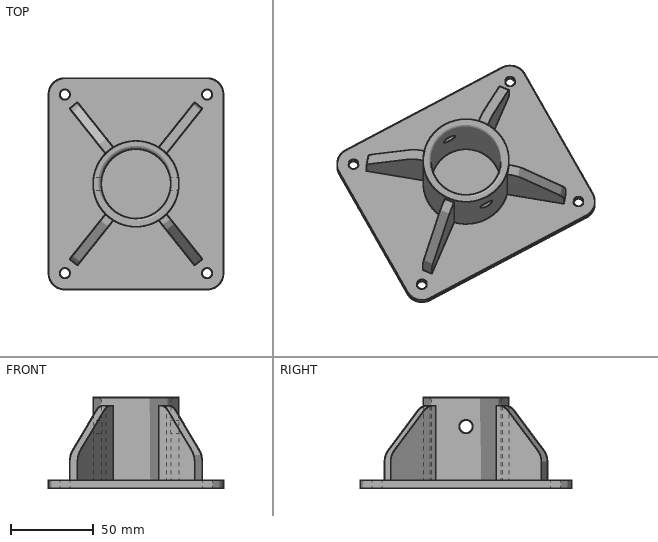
import cadquery as cq
import math

plate_width = 106.0
plate_length = 128.0
plate_thickness = 5.0
corner_radius = 10.0
bolt_inset = 10.0
bolt_diameter = 6.0

total_height = 55.0
tube_diameter = 52.0
bore_diameter = 42.0
rim_radius = 2.5
pin_diameter = 8.0
pin_height = 37.4

rib_thickness = 6.0
rib_reach = 60.7
rib_shoulder_reach = 32.0
rib_top = 50.0
rib_end_top = 20.0
rib_corner_radius = 10.0

bolt_spacing_x = plate_width - 2 * bolt_inset
bolt_spacing_y = plate_length - 2 * bolt_inset


def make_plate():
    return (
        cq.Workplane("XY")
        .rect(plate_width, plate_length)
        .extrude(plate_thickness)
        .edges("|Z")
        .fillet(corner_radius)
        .faces(">Z")
        .workplane()
        .rect(bolt_spacing_x, bolt_spacing_y, forConstruction=True)
        .vertices()
        .hole(bolt_diameter)
    )


def make_rib(angle):
    """Gusset with rounded shoulders, rooted in the middle of the tube wall."""
    root = (tube_diameter + bore_diameter) / 4
    rib = (
        cq.Workplane("XZ")
        .moveTo(root, 0)
        .lineTo(rib_reach, 0)
        .lineTo(rib_reach, rib_end_top)
        .lineTo(rib_shoulder_reach, rib_top)
        .lineTo(root, rib_top)
        .close()
        .extrude(rib_thickness / 2, both=True)
    )
    margin = rib_thickness / 2
    shoulders = cq.selectors.BoxSelector(
        (rib_shoulder_reach - margin, -rib_thickness, rib_end_top - margin),
        (rib_reach + margin, rib_thickness, rib_top + margin),
    )
    rib = rib.edges("|Y").edges(shoulders).fillet(rib_corner_radius)
    return rib.rotate((0, 0, 0), (0, 0, 1), angle)


def make_bore():
    """Blind bore down to the plate, with a rounded mouth."""
    bore_radius = bore_diameter / 2
    arc_offset = rim_radius * (1 - math.sqrt(0.5))
    return (
        cq.Workplane("XZ")
        .moveTo(0, plate_thickness)
        .lineTo(bore_radius, plate_thickness)
        .lineTo(bore_radius, total_height - rim_radius)
        .threePointArc(
            (bore_radius + arc_offset, total_height - arc_offset),
            (bore_radius + rim_radius, total_height),
        )
        .lineTo(0, total_height)
        .close()
        .revolve(360, (0, 0, 0), (0, 1, 0))
    )


def make_pin_hole():
    """Cross hole along X through both tube walls."""
    return (
        cq.Workplane("YZ")
        .center(0, pin_height)
        .circle(pin_diameter / 2)
        .extrude(tube_diameter, both=True)
    )


body = make_plate().union(cq.Workplane("XY").circle(tube_diameter / 2).extrude(total_height))

bolt_angle = math.degrees(math.atan2(bolt_spacing_y, bolt_spacing_x))
for rib_angle in (bolt_angle, 180 - bolt_angle, 180 + bolt_angle, -bolt_angle):
    body = body.union(make_rib(rib_angle))

result = body.cut(make_bore()).cut(make_pin_hole())